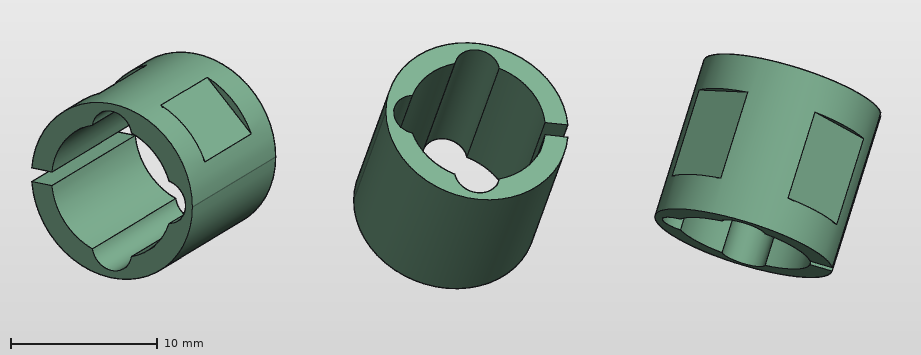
import cadquery as cq
import math

outer_diameter = 12.7
bore_diameter = 9.52
length = 11.4
slit_width = 0.99

groove_radius = 1.56
groove_center_radius = 4.24
groove_angles = (0, 90, 270)

flat_distance = 5.85
flat_length = 6.32
flat_angles = (45, 135)

outer_radius = outer_diameter / 2


def rod(radius, x=0, z=0):
    """Solid cylinder along Y, centered on the sleeve length."""
    return cq.Workplane("XZ", origin=(x, length / 2, z)).circle(radius).extrude(length)


def bore_groove(angle):
    """Cutter for one lengthwise groove, its angle measured from +X toward +Z."""
    direction = math.radians(angle)
    x = groove_center_radius * math.cos(direction)
    z = groove_center_radius * math.sin(direction)
    return rod(groove_radius, x, z)


def outer_flat(angle):
    """Cutter that leaves a flat facing the given angle, from +X toward +Z."""
    block = cq.Workplane("XY").box(
        outer_radius, flat_length, outer_diameter, centered=(False, True, True)
    )
    return block.translate((flat_distance, 0, 0)).rotate((0, 0, 0), (0, 1, 0), -angle)


sleeve = rod(outer_radius).cut(rod(bore_diameter / 2))

for angle in groove_angles:
    sleeve = sleeve.cut(bore_groove(angle))

slit = cq.Workplane("XY").box(outer_diameter, length, slit_width).translate((-outer_radius, 0, 0))
sleeve = sleeve.cut(slit)

for angle in flat_angles:
    sleeve = sleeve.cut(outer_flat(angle))

result = sleeve